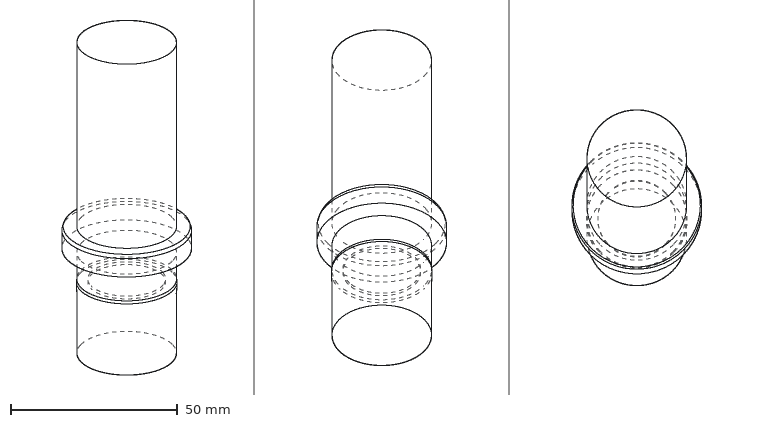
import cadquery as cq

shaft_diameter = 30.0
land_diameter = 30.3
groove_diameter = 23.4
collar_diameter = 39.0

total_length = 104.0
pilot_length = 20.8
taper_height = 1.2
land_height = 1.9
groove_height = 0.9
neck_height = 8.9
collar_height = 8.6
collar_bevel_height = 1.2
collar_bevel_width = 0.4

shaft_radius = shaft_diameter / 2
land_radius = land_diameter / 2
groove_radius = groove_diameter / 2
collar_radius = collar_diameter / 2

land_bottom = pilot_length + taper_height
land_top = land_bottom + land_height
groove_top = land_top + groove_height
collar_bottom = groove_top + neck_height
collar_top = collar_bottom + collar_height

profile = (
    cq.Workplane("XZ")
    .lineTo(shaft_radius, 0)
    .lineTo(shaft_radius, pilot_length)
    .lineTo(land_radius, land_bottom)
    .lineTo(land_radius, land_top)
    .lineTo(groove_radius, land_top)
    .lineTo(groove_radius, groove_top)
    .lineTo(shaft_radius, groove_top)
    .lineTo(shaft_radius, collar_bottom)
    .lineTo(collar_radius, collar_bottom + collar_bevel_height)
    .lineTo(collar_radius, collar_top - collar_bevel_height)
    .lineTo(collar_radius - collar_bevel_width, collar_top)
    .lineTo(shaft_radius, collar_top)
    .lineTo(shaft_radius, total_length)
    .lineTo(0, total_length)
    .close()
)

result = profile.revolve(360, (0, 0), (0, 1))